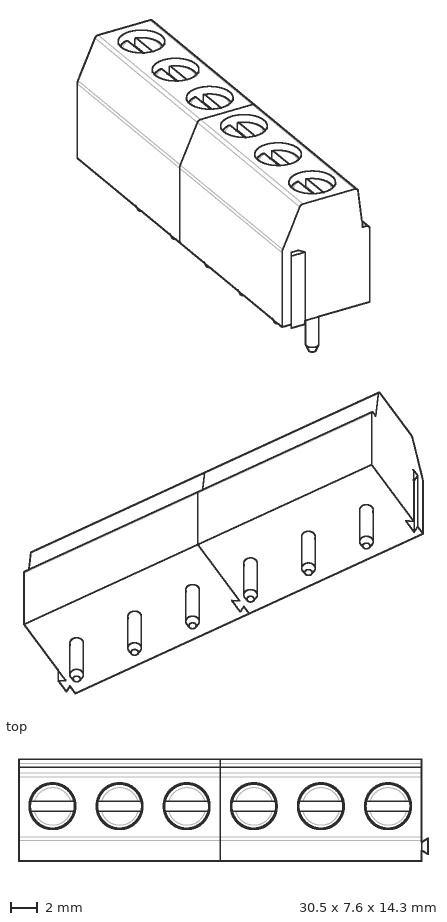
import cadquery as cq


overall_length = 30.5
block_count = 2
poles_per_block = 3
pole_pitch = 5.0
block_length = poles_per_block * pole_pitch

body_height = 10.0
front_y = -4.1
back_y = 3.5
front_shoulder_z = 6.5
ledge_z = 6.55
ledge_depth = 0.6
back_lean = 0.43
front_slope_run = 1.62
edge_radius = 0.3
front_shoulder_radius = 0.6

dovetail_y = front_y + 1.1
dovetail_reach = overall_length - block_count * block_length
dovetail_neck = 0.6
dovetail_tip = 1.22
dovetail_height = 6.15

screw_well_radius = 1.75
screw_well_depth = 1.5
screw_head_drop = 0.5
screw_head_radius = 1.65
screw_head_round = 0.25
screw_slot_width = 0.75
screw_slot_depth = 0.75

pin_diameter = 1.0
pin_length = 4.33
pin_tip_diameter = 0.55
pin_tip_length = 0.52


def make_housing():
    """Extruded housing profile with its long edges rounded."""
    ledge_y = back_y - ledge_depth
    top_back_y = ledge_y - back_lean
    top_front_y = front_y + front_slope_run
    housing = (
        cq.Workplane("YZ")
        .polyline([
            (front_y, 0),
            (back_y, 0),
            (back_y, ledge_z),
            (ledge_y, ledge_z),
            (top_back_y, body_height),
            (top_front_y, body_height),
            (front_y, front_shoulder_z),
        ])
        .close()
        .extrude(block_length)
    )

    def long_edge(y, z):
        return cq.selectors.NearestToPointSelector((block_length / 2, y, z))

    rounded_edges = [
        (back_y, ledge_z, edge_radius),
        (top_back_y, body_height, edge_radius),
        (top_front_y, body_height, edge_radius),
        (front_y, front_shoulder_z, front_shoulder_radius),
    ]
    for y, z, radius in rounded_edges:
        housing = housing.edges("|X").edges(long_edge(y, z)).fillet(radius)
    return housing


def make_dovetail(x):
    """Upright dovetail that starts at x and widens toward +X."""
    return (
        cq.Workplane("XY")
        .polyline([
            (x, dovetail_y - dovetail_neck / 2),
            (x + dovetail_reach, dovetail_y - dovetail_tip / 2),
            (x + dovetail_reach, dovetail_y + dovetail_tip / 2),
            (x, dovetail_y + dovetail_neck / 2),
        ])
        .close()
        .extrude(dovetail_height)
    )


def make_screw_well(x):
    """Round recess in the top of the housing."""
    return (
        cq.Workplane("XY", origin=(x, 0, body_height - screw_well_depth))
        .circle(screw_well_radius)
        .extrude(screw_well_depth)
    )


def make_screw_head(x):
    """Round-edged head standing on the floor of its well, with a driver slot along X."""
    head = (
        cq.Workplane("XY", origin=(x, 0, body_height - screw_well_depth))
        .circle(screw_head_radius)
        .extrude(screw_well_depth - screw_head_drop)
        .faces(">Z")
        .edges()
        .fillet(screw_head_round)
    )
    slot = (
        cq.Workplane("XY", origin=(x, 0, body_height - screw_head_drop))
        .rect(2 * screw_head_radius, screw_slot_width)
        .extrude(-screw_slot_depth)
    )
    return head.cut(slot)


def make_pin(x):
    """Round solder pin with a tapered tip, hanging from the underside."""
    return (
        cq.Workplane("XZ", origin=(x, 0, 0))
        .polyline([
            (0, 0),
            (pin_diameter / 2, 0),
            (pin_diameter / 2, pin_tip_length - pin_length),
            (pin_tip_diameter / 2, -pin_length),
            (0, -pin_length),
        ])
        .close()
        .revolve(360, (0, 0, 0), (0, 1, 0))
    )


def make_terminal_block():
    """One block as a single solid: housing, dovetail, screw heads and pins."""
    block = make_housing()
    block = block.cut(make_dovetail(0))
    block = block.union(make_dovetail(block_length))
    for pole in range(poles_per_block):
        x = (pole + 0.5) * pole_pitch
        block = block.cut(make_screw_well(x))
        block = block.union(make_screw_head(x))
        block = block.union(make_pin(x))
    return block


terminal_block = make_terminal_block()
terminal_blocks = [
    terminal_block.translate((index * block_length, 0, 0)).solids().val()
    for index in range(block_count)
]

result = cq.Compound.makeCompound(terminal_blocks)